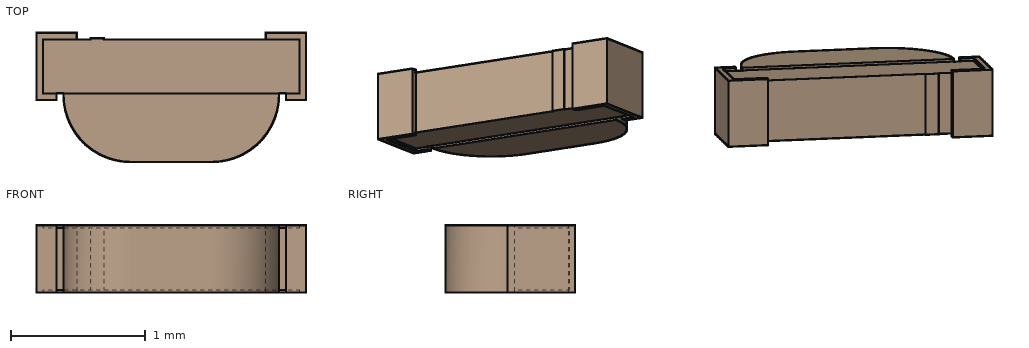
import cadquery as cq

package_length = 2.0
package_height = 0.5
terminal_depth = 0.5
overall_depth = 0.96

terminal_wall = 0.05
back_wing_length = 0.3
front_wing_length = 0.15

body_inset = 0.02
body_length = package_length - 2 * terminal_wall
body_depth = terminal_depth - 2 * terminal_wall
body_height = package_height - 2 * body_inset

lens_length = 1.6
lens_radius = 0.5

mark_width = 0.1
mark_thickness = 0.01
mark_offset = 0.45

end_x = package_length / 2
back_y = terminal_depth / 2
body_back_y = body_depth / 2
body_front_y = -body_depth / 2
lens_front_y = back_y - overall_depth


def make_body():
    return cq.Workplane("XY").box(body_length, body_depth, body_height)


def make_left_terminal():
    inner_x = -end_x + terminal_wall
    back_wing_x = -end_x + back_wing_length
    front_wing_x = -end_x + front_wing_length
    outline = [
        (-end_x, back_y),
        (back_wing_x, back_y),
        (back_wing_x, body_back_y),
        (inner_x, body_back_y),
        (inner_x, body_front_y),
        (front_wing_x, body_front_y),
        (front_wing_x, -back_y),
        (-end_x, -back_y),
    ]
    return (
        cq.Workplane("XY")
        .workplane(offset=-package_height / 2)
        .polyline(outline)
        .close()
        .extrude(package_height)
    )


def make_lens():
    lens_depth = body_front_y - lens_front_y
    lens_centre_y = (body_front_y + lens_front_y) / 2
    return (
        cq.Workplane("XY")
        .center(0, lens_centre_y)
        .box(lens_length, lens_depth, package_height)
        .edges("|Z and <Y")
        .fillet(lens_radius)
    )


def make_polarity_mark():
    return (
        cq.Workplane("XY")
        .center(-end_x + mark_offset, body_back_y + mark_thickness / 2)
        .box(mark_width, mark_thickness, body_height)
    )


left_terminal = make_left_terminal()
right_terminal = left_terminal.mirror("YZ")

result = (
    make_body()
    .union(left_terminal)
    .union(right_terminal)
    .union(make_lens())
    .union(make_polarity_mark())
)